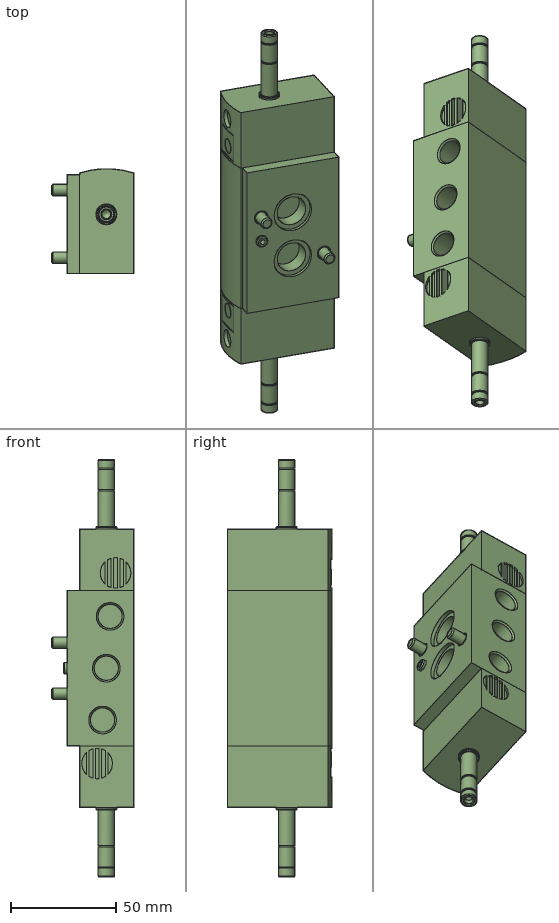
import cadquery as cq
import math

total_height = 198.2
body_height = 73.7
cap_height = 29.1
front_y = -28.1
crown_y = 21.6
cap_edge_y = 19.6
slab_back_y = 18.8

cap_left_x = -12.7
cap_right_x = 13.0
slab_thickness = 6.0
slab_face_x = cap_left_x - slab_thickness
dome_x = (cap_left_x + cap_right_x) / 2

stem_diameter = 8.0
stem_chamfer = 0.5
flange_diameter = 10.0
flange_height = 1.2
flange_chamfer = 0.4
groove_diameter = 7.1
groove_width = 0.5
groove_distances = (4.5, 14.7)
stem_bore_diameter = 4.2
stem_bore_depth = 3.0
stem_bore_mouth_radius = 2.5
drill_tip_angle = 118.0

vent_diameter = 14.5
vent_x = 4.4
vent_z = 45.2
vent_depth = 1.0
vent_rib_width = 1.2
vent_rib_pitch = 3.0
vent_rib_count = 4

crown_flat_z = 44.8
crown_flat_height = 13.7
crown_flat_depth = 0.5
button_diameter = 7.1
button_z = 43.2
button_height = 0.2
crown_hole_diameter = 8.5
crown_hole_z = 57.7
crown_hole_depth = 2.0

front_port_diameter = 11.5
front_port_mouth = 13.0
front_port_depth = 15.9
front_port_step_x = 1.8
front_port_pitch = 24.5

side_port_diameter = 14.5
side_port_seat_diameter = 19.0
side_port_seat_depth = 1.8
side_port_depth = 10.0
side_port_y = -4.5
side_port_z = 12.0

stud_diameter = 5.5
stud_length = 7.3
stud_chamfer = 0.7
stud_recess_diameter = 6.7
stud_recess_depth = 0.5
stud_root_depth = 2.0
stud_back_y = 11.5
stud_front_y = -20.6
key_pin_diameter = 5.5
key_pin_projection = 1.8
key_pin_bore_diameter = 2.4
key_pin_seat_depth = 4.0
key_pin_chamfer = 0.5


def domed_block(bottom_z, height):
    """Block with a flat front and a back that bulges in an arc from side to side."""
    return (
        cq.Workplane("XY", origin=(0, 0, bottom_z))
        .moveTo(cap_left_x, front_y)
        .lineTo(cap_right_x, front_y)
        .lineTo(cap_right_x, cap_edge_y)
        .threePointArc((dome_x, crown_y), (cap_left_x, cap_edge_y))
        .close()
        .extrude(height)
    )


def cylinder_along_x(diameter, start_x, y, z, length):
    return cq.Workplane("YZ", origin=(start_x, y, z)).circle(diameter / 2).extrude(length)


def cylinder_along_y(diameter, start_y, x, z, length):
    """Cylinder running from start_y toward +Y."""
    return cq.Workplane("XZ", origin=(x, start_y, z)).circle(diameter / 2).extrude(-length)


def chamfered_pin(diameter, length, seat_depth, chamfer, y, z):
    """Pin standing out of the connection face toward -X, with a chamfered tip."""
    pin = cylinder_along_x(diameter, slab_face_x - length, y, z, length + seat_depth)
    return pin.faces("<X").chamfer(chamfer)


def front_port(x, z):
    """Round port in the front face with a 45 degree mouth."""
    bore = cylinder_along_y(front_port_diameter, front_y, x, z, front_port_depth)
    mouth = cq.Solid.makeCone(
        front_port_mouth / 2,
        front_port_diameter / 2,
        (front_port_mouth - front_port_diameter) / 2,
        pnt=cq.Vector(x, front_y, z),
        dir=cq.Vector(0, 1, 0),
    )
    return bore.union(cq.Workplane(mouth))


def side_port(z):
    """Round port in the connection face with a wider sealing seat."""
    bore = cylinder_along_x(side_port_diameter, slab_face_x, side_port_y, z, side_port_depth)
    seat = cylinder_along_x(side_port_seat_diameter, slab_face_x, side_port_y, z, side_port_seat_depth)
    return bore.union(seat)


def make_valve_body():
    bottom_z = -body_height / 2
    slab = cq.Workplane("XY").box(
        slab_thickness, slab_back_y - front_y, body_height, centered=False
    ).translate((slab_face_x, front_y, bottom_z))
    body = domed_block(bottom_z, body_height).union(slab)
    for step in (-1, 0, 1):
        body = body.cut(front_port(step * front_port_step_x, step * front_port_pitch))
    for z in (-side_port_z, side_port_z):
        body = body.cut(side_port(z))
    for y, z in ((stud_back_y, side_port_z), (stud_front_y, -side_port_z)):
        body = body.cut(cylinder_along_x(stud_recess_diameter, slab_face_x, y, z, stud_recess_depth))
        stud = chamfered_pin(stud_diameter, stud_length, stud_root_depth, stud_chamfer, y, z)
        body = body.union(stud)
    key_seat = cylinder_along_x(key_pin_diameter, slab_face_x, stud_back_y, 0, key_pin_seat_depth)
    return body.cut(key_seat)


def make_stem():
    """Grooved stem of the upper cap, with a flange at its foot and a drilled tip."""
    foot_z = body_height / 2 + cap_height
    tip_z = total_height / 2
    stem = cq.Workplane("XY", origin=(0, 0, foot_z)).circle(stem_diameter / 2).extrude(tip_z - foot_z)
    stem = stem.faces(">Z").chamfer(stem_chamfer)
    for distance in groove_distances:
        groove = (
            cq.Workplane("XY", origin=(0, 0, tip_z - distance - groove_width / 2))
            .circle(flange_diameter / 2)
            .circle(groove_diameter / 2)
            .extrude(groove_width)
        )
        stem = stem.cut(groove)
    flange = cq.Workplane("XY", origin=(0, 0, foot_z)).circle(flange_diameter / 2).extrude(flange_height)
    flange = flange.faces(">Z").chamfer(flange_chamfer)
    bore_radius = stem_bore_diameter / 2
    bore_bottom_z = tip_z - stem_bore_depth
    drill_tip_z = bore_bottom_z - bore_radius / math.tan(math.radians(drill_tip_angle / 2))
    bore = (
        cq.Workplane("XZ")
        .moveTo(0, drill_tip_z)
        .lineTo(bore_radius, bore_bottom_z)
        .lineTo(bore_radius, tip_z - (stem_bore_mouth_radius - bore_radius))
        .lineTo(stem_bore_mouth_radius, tip_z)
        .lineTo(0, tip_z)
        .close()
        .revolve(360, (0, 0, 0), (0, 1, 0))
    )
    return stem.union(flange).cut(bore)


def vent_grille(x, z):
    """Shallow round recess divided by upright ribs that are flush with the front face."""
    ribs = (
        cq.Workplane("XZ", origin=(x, front_y, z))
        .rarray(vent_rib_pitch, 2, vent_rib_count, 1)
        .rect(vent_rib_width, vent_diameter)
        .extrude(-vent_depth)
    )
    return cylinder_along_y(vent_diameter, front_y, x, z, vent_depth).cut(ribs)


def add_crown_details(cap):
    """Mill a flat across the crown of the upper cap, with a low round button, and sink a blind hole."""
    flat_y = crown_y - crown_flat_depth
    flat_cutter = cq.Workplane("XY", origin=(dome_x, flat_y + crown_flat_depth / 2, crown_flat_z)).box(
        cap_right_x - cap_left_x, crown_flat_depth, crown_flat_height
    )
    button = cylinder_along_y(button_diameter, flat_y, 0, button_z, button_height)
    hole = cylinder_along_y(
        crown_hole_diameter, crown_y - crown_hole_depth, 0, crown_hole_z, crown_hole_depth
    )
    return cap.cut(flat_cutter).union(button).cut(hole)


def make_cap(side):
    """End cap with its stem; side is 1 for the upper cap and -1 for the lower one."""
    cap = add_crown_details(domed_block(body_height / 2, cap_height)).union(make_stem())
    if side < 0:
        cap = cap.mirror("XY")
    return cap.cut(vent_grille(side * vent_x, side * vent_z))


def make_key_pin():
    """Short hollow pin seated in the connection face."""
    pin = chamfered_pin(
        key_pin_diameter, key_pin_projection, key_pin_seat_depth, key_pin_chamfer, stud_back_y, 0
    )
    pin_length = key_pin_projection + key_pin_seat_depth
    tip_x = slab_face_x - key_pin_projection
    return pin.cut(cylinder_along_x(key_pin_bore_diameter, tip_x, stud_back_y, 0, pin_length))


valve_body = make_valve_body()
caps = [make_cap(side) for side in (1, -1)]
key_pin = make_key_pin()
result = cq.Compound.makeCompound([valve_body.val(), *[cap.val() for cap in caps], key_pin.val()])